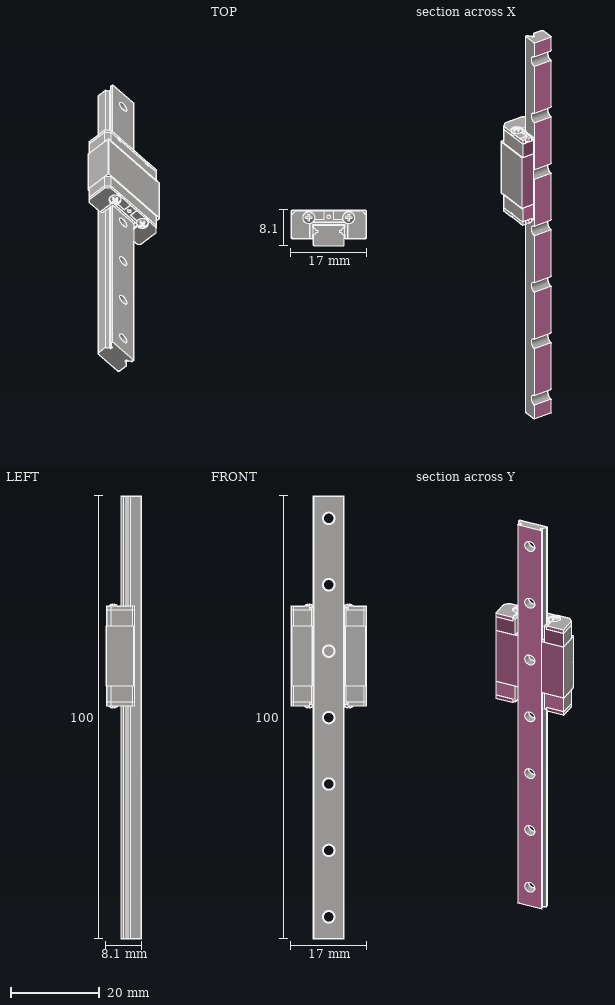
import cadquery as cq


rail_length = 100.0
rail_width = 7.0
rail_height = 4.7
edge_chamfer = 0.2
hole_pitch = 15.0
hole_count = 7
hole_diameter = 2.4
hole_rim_chamfer = 0.2

groove_radius = 0.8
groove_height = 3.3
groove_axis_offset = 0.1
relief_width = 0.5
relief_depth = 0.4

carriage_width = 17.0
carriage_bottom = 1.6
block_top = 8.1
block_length = 13.6
carriage_z = 13.9
running_gap = 0.1

cap_thickness = 3.6
cap_top = 7.9
cap_upper_chamfer = 1.0
cap_lower_chamfer = 0.5
opening_chamfer = 0.3
lip_height = 0.55

plate_thickness = 0.9
plate_opening_width = 8.6
plate_opening_top = 5.4
lip_gap = 0.1
tab_width = 2.1
tab_bottom = 6.0
pocket_depth = 0.1
port_diameter = 0.8
port_height = 6.6

screw_spacing = 9.0
screw_height = 6.4
head_diameter = 2.7
cross_length = 1.4
cross_width = 0.3
cross_depth = 0.5

block_end = carriage_z + block_length / 2
cap_end = block_end + cap_thickness
opening_width = rail_width + 2 * running_gap
opening_top = rail_height + running_gap
lip_width = plate_opening_width - 2 * lip_gap
lip_top = plate_opening_top - lip_gap
head_radius = head_diameter / 2


def bar(width, bottom, top, start, length):
    """Box centred on X = 0, from bottom to top in Y, that starts at Z = start."""
    height = top - bottom
    box = cq.Workplane("XY").box(width, height, length, centered=(True, False, False))
    return box.translate((0, bottom, start))


def chamfered_bar(top, start, length, lower_chamfer, upper_chamfer):
    """Bar as wide as the carriage, with chamfered long edges on its -Y and +Y sides."""
    body = bar(carriage_width, carriage_bottom, top, start, length)
    body = body.faces("<Y").edges("|Z").chamfer(lower_chamfer)
    return body.faces(">Y").edges("|Z").chamfer(upper_chamfer)


def side_grooves(start, length):
    """Ball grooves on both sides, each a round channel with a narrow relief slot at its bottom."""
    groove_axis = rail_width / 2 + groove_axis_offset
    relief_reach = groove_radius + relief_depth
    section = cq.Workplane("XY").workplane(offset=start)
    axes = [(-groove_axis, groove_height), (groove_axis, groove_height)]
    reliefs = [
        (-groove_axis + relief_reach / 2, groove_height),
        (groove_axis - relief_reach / 2, groove_height),
    ]
    channels = section.pushPoints(axes).circle(groove_radius).extrude(length)
    return channels.union(section.pushPoints(reliefs).rect(relief_reach, relief_width).extrude(length))


def rail_opening(start, length, mouth_chamfer):
    """Clearance for the rail, widened by a chamfer at its mouth."""
    half = opening_width / 2
    points = [
        (half + mouth_chamfer, carriage_bottom),
        (half, carriage_bottom + mouth_chamfer),
        (half, opening_top),
        (-half, opening_top),
        (-half, carriage_bottom + mouth_chamfer),
        (-half - mouth_chamfer, carriage_bottom),
    ]
    return cq.Workplane("XY").workplane(offset=start).polyline(points).close().extrude(length)


def at_screws(start):
    """Workplane at Z = start with a point on each screw axis."""
    points = [(-screw_spacing / 2, screw_height), (screw_spacing / 2, screw_height)]
    return cq.Workplane("XY").workplane(offset=start).pushPoints(points)


def at_both_ends(body):
    """The body at the +Z end of the carriage and its mirror image at the -Z end."""
    return [body, body.mirror("XY", (0, 0, carriage_z))]


def make_rail():
    """Rail with a row of through holes, chamfered at the mounting face."""
    rail = bar(rail_width, 0, rail_height, -rail_length / 2, rail_length)
    rail = rail.faces("<Y").edges("|Z").chamfer(edge_chamfer)
    rail = rail.cut(side_grooves(-rail_length / 2, rail_length))

    rim_radius = hole_diameter / 2 + hole_rim_chamfer
    for index in range(hole_count):
        z = (index - (hole_count - 1) / 2) * hole_pitch
        foot = cq.Vector(0, 0, z)
        up = cq.Vector(0, 1, 0)
        rail = rail.cut(cq.Solid.makeCylinder(hole_diameter / 2, rail_height, foot, up))
        rail = rail.cut(cq.Solid.makeCone(rim_radius, hole_diameter / 2, hole_rim_chamfer, foot, up))
    return rail


def make_block():
    """Block around the rail, with ridges that fill the ball grooves and guide it."""
    start = carriage_z - block_length / 2
    block = chamfered_bar(block_top, start, block_length, edge_chamfer, edge_chamfer)
    opening = rail_opening(start, block_length, edge_chamfer)
    return block.cut(opening.cut(side_grooves(start, block_length)))


def make_cap():
    """End cap against the +Z end of the block, with a lip that follows the rail."""
    cap = chamfered_bar(cap_top, block_end, cap_thickness, cap_lower_chamfer, cap_upper_chamfer)
    lip = bar(lip_width, carriage_bottom, lip_top, cap_end, lip_height)
    lip = lip.cut(at_screws(cap_end).circle(head_radius).extrude(lip_height))
    opening = rail_opening(block_end, cap_thickness + lip_height, opening_chamfer)
    return cap.union(lip).cut(opening)


def make_plate():
    """End plate on the end cap, cut out around the lip and the screw heads."""
    plate = chamfered_bar(cap_top, cap_end, plate_thickness, cap_lower_chamfer, cap_upper_chamfer)
    opening = bar(plate_opening_width, carriage_bottom, plate_opening_top, cap_end, plate_thickness)
    plate = plate.cut(opening)
    plate = plate.cut(at_screws(cap_end).circle(head_radius).extrude(plate_thickness))

    pocket_start = cap_end + plate_thickness - pocket_depth
    tab = bar(tab_width, tab_bottom, cap_top, pocket_start, pocket_depth)
    plate = plate.cut(bar(screw_spacing, tab_bottom, cap_top, pocket_start, pocket_depth).cut(tab))

    port = cq.Workplane("XY").workplane(offset=cap_end).center(0, port_height)
    return plate.cut(port.circle(port_diameter / 2).extrude(plate_thickness))


def make_screw_head(x):
    """Half-round head on the end cap, with a cross recess at its crown."""
    ball = cq.Workplane("XY").sphere(head_radius)
    lower_half = bar(2 * head_radius, -head_radius, head_radius, -head_radius, head_radius)
    crown = cq.Workplane("XY").workplane(offset=head_radius - cross_depth)
    head = ball.cut(lower_half)
    head = head.cut(crown.rect(cross_length, cross_width).extrude(cross_depth))
    head = head.cut(crown.rect(cross_width, cross_length).extrude(cross_depth))
    return head.translate((x, screw_height, cap_end))


rail = make_rail()
block = make_block()
caps = at_both_ends(make_cap())
plates = at_both_ends(make_plate())
screw_heads = []
for screw_x in (-screw_spacing / 2, screw_spacing / 2):
    screw_heads += at_both_ends(make_screw_head(screw_x))

bodies = [rail, block, *caps, *plates, *screw_heads]
result = cq.Compound.makeCompound([body.solids().val() for body in bodies])